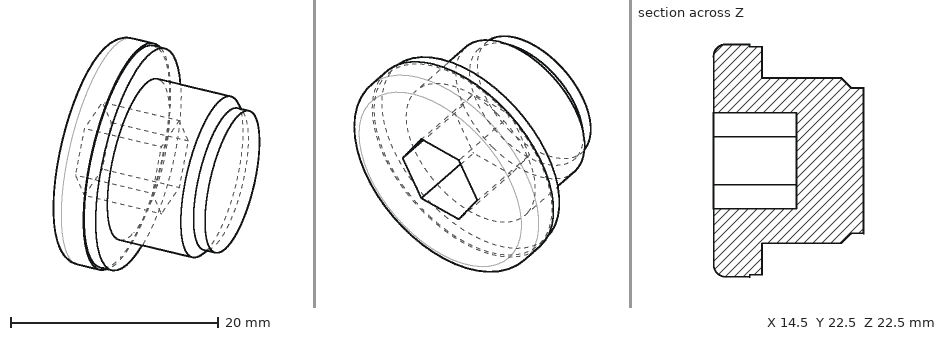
import cadquery as cq
import math

total_length = 14.5

head_diameter = 22.5
head_thickness = 3.5
head_edge_radius = 1.2
collar_diameter = 22.05
collar_thickness = 1.2

shank_diameter = 16.0
tip_diameter = 14.1
tip_length = 1.2

socket_across_flats = 8.0
socket_depth = 8.0

head_radius = head_diameter / 2
collar_radius = collar_diameter / 2
shank_radius = shank_diameter / 2
tip_radius = tip_diameter / 2
collar_end = head_thickness + collar_thickness
tip_start = total_length - tip_length
shoulder_start = tip_start - (shank_radius - tip_radius)


def turned_body():
    """Revolve the half profile of the plug about the X axis."""
    arc_offset = head_edge_radius * (1 - math.sqrt(0.5))
    profile = (
        cq.Workplane("XY")
        .moveTo(0, 0)
        .lineTo(0, head_radius - head_edge_radius)
        .threePointArc((arc_offset, head_radius - arc_offset), (head_edge_radius, head_radius))
        .lineTo(head_thickness, head_radius)
        .lineTo(head_thickness, collar_radius)
        .lineTo(collar_end, collar_radius)
        .lineTo(collar_end, shank_radius)
        .lineTo(shoulder_start, shank_radius)
        .lineTo(tip_start, tip_radius)
        .lineTo(total_length, tip_radius)
        .lineTo(total_length, 0)
        .close()
    )
    return profile.revolve(360, (0, 0, 0), (1, 0, 0))


def hex_socket():
    """Blind hexagonal prism with two corners on the Y axis."""
    across_corners = socket_across_flats / math.cos(math.pi / 6)
    return cq.Workplane("YZ").polygon(6, across_corners).extrude(socket_depth)


result = turned_body().cut(hex_socket())